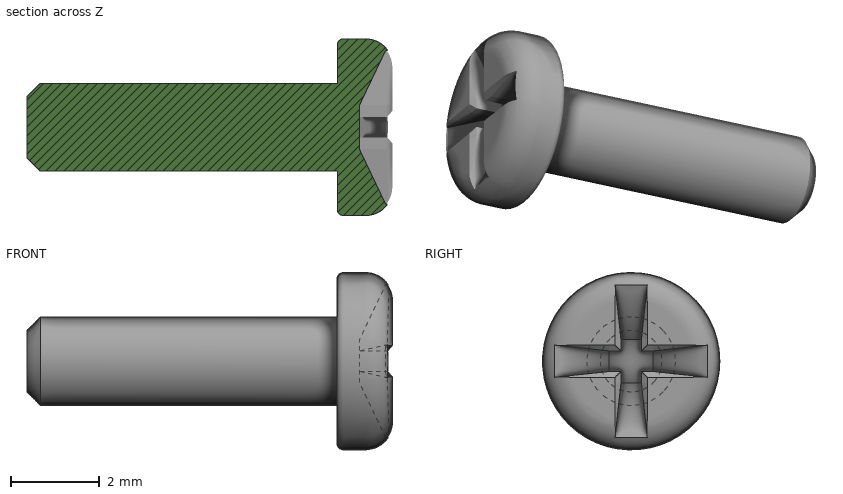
import cadquery as cq

total_length = 8.25
shank_radius = 1.0
tip_chamfer = 0.305
head_diameter = 4.0
head_height = 1.25
under_head_round = 0.15
dome_radius = 0.61

wing_half_width = 0.36
wing_reach = 1.725
wing_end_depth = 0.16
recess_depth = 0.74
recess_core_radius = 0.495
lip_depth = 0.115
throat_half_width = 0.23
wing_count = 4

head_start = total_length - head_height


def make_shank():
    shank = cq.Workplane("YZ").circle(shank_radius).extrude(head_start)
    return shank.faces("<X").chamfer(tip_chamfer)


def make_head():
    head = cq.Workplane("YZ", origin=(head_start, 0, 0)).circle(head_diameter / 2).extrude(head_height)
    head = head.faces("<X").edges().fillet(under_head_round)
    return head.faces(">X").edges().fillet(dome_radius)


def wing_section(y, lip_half_width, section_lip_depth, section_depth):
    """Closed section across a wing, at a distance y from the screw axis."""
    lip_x = total_length - section_lip_depth
    floor_x = total_length - section_depth
    upper_side = [
        (total_length, wing_half_width),
        (lip_x, lip_half_width),
        (floor_x, lip_half_width),
    ]
    lower_side = [(x, -z) for x, z in reversed(upper_side)]
    points = [cq.Vector(x, y, z) for x, z in upper_side + lower_side]
    return cq.Wire.makePolygon(points, close=True)


def make_wing():
    """One wing, from the screw axis out to its blunt end in the dome."""
    axis = wing_section(0, throat_half_width, lip_depth, recess_depth)
    core_edge = wing_section(recess_core_radius, throat_half_width, lip_depth, recess_depth)
    end = wing_section(wing_reach, wing_half_width, wing_end_depth / 2, wing_end_depth)
    core = cq.Solid.makeLoft([axis, core_edge], True)
    flare = cq.Solid.makeLoft([core_edge, end], True)
    return cq.Workplane(core).union(cq.Workplane(flare))


result = make_shank().union(make_head())

wing = make_wing()
for index in range(wing_count):
    angle = index * 360 / wing_count
    result = result.cut(wing.rotate((0, 0, 0), (1, 0, 0), angle))